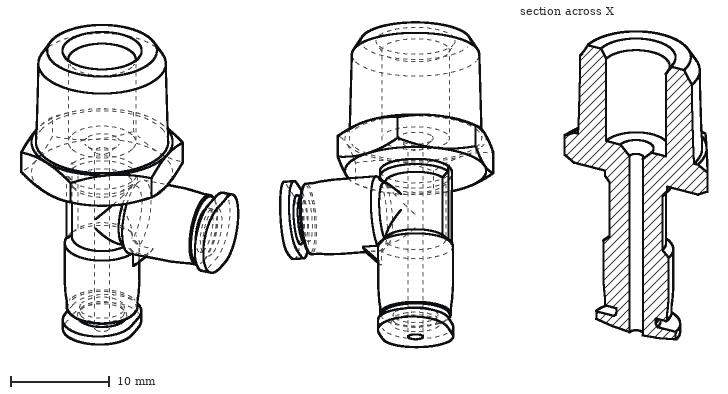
import cadquery as cq
import math

total_height = 31.9
arm_length = 13.6
tee_z = arm_length

hex_flats = 14.32
hex_bottom = 17.9
hex_top = 21.4
hex_bevel_angle = math.radians(30)

taper_base_diameter = 13.43
taper_top_diameter = 12.95
taper_end_diameter = 11.13
taper_top = 30.43
bore_diameter = 6.85
bore_mouth_diameter = 8.05
bore_mouth_depth = 1.02
bore_floor = hex_top
funnel_diameter = 3.57
passage_diameter = 1.5

core_radius = 6.12 / 2
neck_radius = 7.2 / 2
sleeve_radius = 7.6 / 2
shoulder_start = 3.1
neck_start = 3.73
sleeve_start = 3.8
barrel_start = 8.25
barrel_end = 10.3
sleeve_end = 11.23
sleeve_chamfer = 0.13
stub_radius = 4.55 / 2
stub_flare_start = 11.75
stub_flare = 0.22
collar_start = 12.12

collar_width = 7.2
collar_straight = 2.0
dome_depth = 0.55

web_width = 1.5
rib_reach = neck_radius
rib_bottom = 10.02
gusset_leg = 1.5


def make_arm():
    """One arm on the Z axis, pointing up from the tee centre at the origin."""
    body = (
        cq.Workplane("XZ")
        .lineTo(core_radius, 0)
        .lineTo(core_radius, shoulder_start)
        .lineTo(sleeve_radius, sleeve_start)
        .lineTo(sleeve_radius, barrel_start)
        .tangentArcPoint((neck_radius, barrel_end), relative=False)
        .lineTo(neck_radius, sleeve_end - sleeve_chamfer)
        .lineTo(neck_radius - sleeve_chamfer, sleeve_end)
        .lineTo(stub_radius, sleeve_end)
        .lineTo(stub_radius, stub_flare_start)
        .lineTo(stub_radius + stub_flare, collar_start)
        .lineTo(0, collar_start)
        .close()
        .revolve(360, (0, 0), (0, 1))
    )
    collar_length = collar_width + collar_straight
    collar = (
        cq.Workplane("XY")
        .workplane(offset=collar_start)
        .slot2D(collar_length, collar_width, 90)
        .extrude(arm_length - collar_start)
    )
    dome_radius = ((collar_length / 2) ** 2 + dome_depth**2) / (2 * dome_depth)
    half_angle = math.asin(collar_length / 2 / dome_radius) / 2
    half_chord = dome_radius * math.sin(half_angle)
    half_drop = dome_radius * (1 - math.cos(half_angle))
    dome = (
        cq.Workplane("XZ", origin=(0, 0, collar_start))
        .lineTo(collar_length / 2, 0)
        .lineTo(collar_length / 2, arm_length - collar_start - dome_depth)
        .threePointArc((half_chord, arm_length - collar_start - half_drop), (0, arm_length - collar_start))
        .close()
        .revolve(360, (0, 0), (0, 1))
    )
    return body.union(collar.intersect(dome))


def make_tee():
    """Stem arm, branch arm and the neck that joins them to the hexagon."""
    arm = make_arm()
    stem = arm.rotate((0, 0, 0), (1, 0, 0), 180)
    branch = arm.rotate((0, 0, 0), (0, 1, 0), 90)
    neck_top = hex_bottom - tee_z
    neck = (
        cq.Workplane("XZ")
        .lineTo(core_radius, 0)
        .lineTo(core_radius, shoulder_start)
        .lineTo(neck_radius, neck_start)
        .lineTo(neck_radius, neck_top)
        .lineTo(0, neck_top)
        .close()
        .revolve(360, (0, 0), (0, 1))
    )
    return stem.union(neck).union(branch).translate((0, 0, tee_z))


def make_hexagon():
    """Hexagon with flats facing X and both ends bevelled down to the flats."""
    corner_radius = hex_flats / math.sqrt(3)
    flat_radius = hex_flats / 2
    bevel_drop = (corner_radius - flat_radius) * math.tan(hex_bevel_angle)
    prism = (
        cq.Workplane("XY")
        .workplane(offset=hex_bottom)
        .polygon(6, 2 * corner_radius)
        .extrude(hex_top - hex_bottom)
        .rotate((0, 0, 0), (0, 0, 1), 30)
    )
    bevel = (
        cq.Workplane("XZ")
        .moveTo(0, hex_bottom)
        .lineTo(flat_radius, hex_bottom)
        .lineTo(corner_radius, hex_bottom + bevel_drop)
        .lineTo(corner_radius, hex_top - bevel_drop)
        .lineTo(flat_radius, hex_top)
        .lineTo(0, hex_top)
        .close()
        .revolve(360, (0, 0), (0, 1))
    )
    return prism.intersect(bevel)


def make_taper():
    """Tapered connection above the hexagon, with a conical lead-in."""
    return (
        cq.Workplane("XZ")
        .moveTo(0, hex_top)
        .lineTo(taper_base_diameter / 2, hex_top)
        .lineTo(taper_top_diameter / 2, taper_top)
        .lineTo(taper_end_diameter / 2, total_height)
        .lineTo(0, total_height)
        .close()
        .revolve(360, (0, 0), (0, 1))
    )


def make_webs():
    """Rib along the back of the stem and gusset in the corner below the branch."""
    rib = cq.Workplane("XY").box(
        rib_reach, web_width, hex_bottom - rib_bottom, centered=(False, True, False)
    ).translate((-rib_reach, 0, rib_bottom))
    corner_z = tee_z - sleeve_radius
    gusset = (
        cq.Workplane("XZ")
        .moveTo(0, tee_z)
        .lineTo(0, corner_z - gusset_leg)
        .lineTo(sleeve_radius, corner_z - gusset_leg)
        .lineTo(sleeve_radius + gusset_leg, corner_z)
        .lineTo(sleeve_radius + gusset_leg, tee_z)
        .close()
        .extrude(web_width / 2, both=True)
    )
    return rib.union(gusset)


def make_bore():
    """Stepped bore: conical mouth, 45 degree funnel and the through passage."""
    bore_radius = bore_diameter / 2
    mouth_radius = bore_mouth_diameter / 2
    funnel_radius = funnel_diameter / 2
    passage_radius = passage_diameter / 2
    return (
        cq.Workplane("XZ")
        .lineTo(passage_radius, 0)
        .lineTo(passage_radius, bore_floor - (funnel_radius - passage_radius))
        .lineTo(funnel_radius, bore_floor)
        .lineTo(bore_radius, bore_floor)
        .lineTo(bore_radius, total_height - bore_mouth_depth)
        .lineTo(mouth_radius, total_height)
        .lineTo(0, total_height)
        .close()
        .revolve(360, (0, 0), (0, 1))
    )


solid_body = make_tee().union(make_webs()).union(make_hexagon()).union(make_taper())
result = solid_body.cut(make_bore())